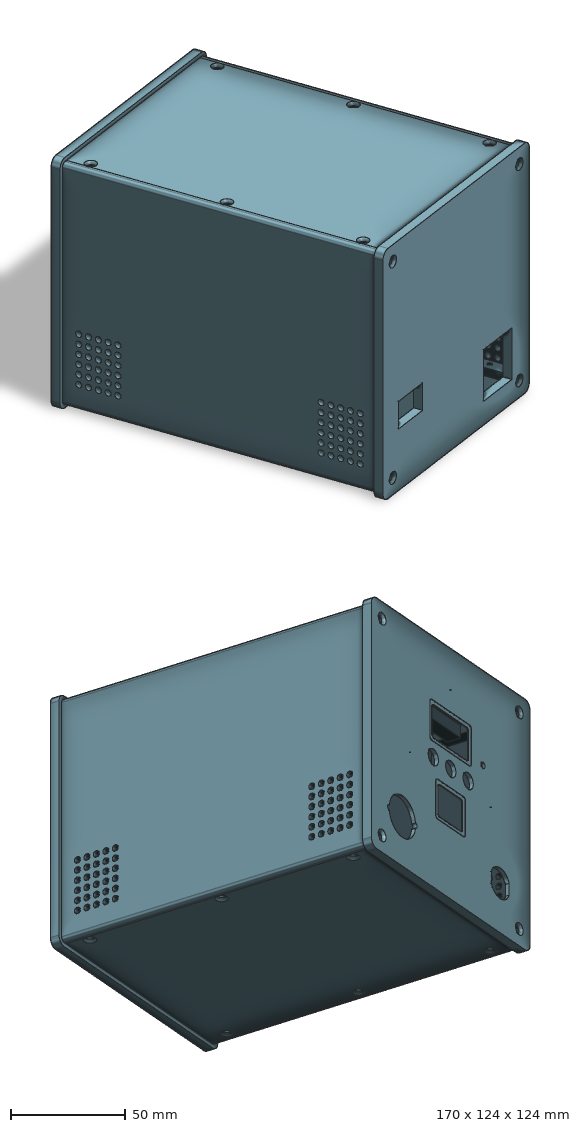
import cadquery as cq

length = 170.0
panel_size = 124.0
panel_thickness = 4.6
panel_overhang = 2.0
body_corner_radius = 2.0
panel_corner_radius = body_corner_radius + panel_overhang
body_size = panel_size - 2 * panel_overhang
body_length = length - 2 * panel_thickness
half_body = body_size / 2
front_x = -length / 2

wall_thickness = 3.4
inner_half = half_body - wall_thickness
rail_size = 7.0
rail_center = inner_half - rail_size / 2
rail_inner = inner_half - rail_size

wall_rib_width = 6.5
wall_rib_x = -33.2
wall_rib_depth = 2.9
lid_rib_x = -53.0
lid_rib_height = 6.1
lid_rib_width = 7.1
lid_step = 2.9

screw_position = 53.5
lid_screw_pitch = 69.7
screw_clearance = 3.2
screw_head = 6.0
screw_head_angle = 90
thread_diameter = 2.4
end_thread_depth = 8.5
drill_point_depth = thread_diameter / 2

vent_diameter = 3.0
vent_columns = 5
vent_rows = 6
vent_width = 20.0
vent_height = 25.0
vent_column_pitch = vent_width / (vent_columns - 1)
vent_row_pitch = vent_height / (vent_rows - 1)
vent_x = 62.0
vent_z = -34.8

skin_thickness = 2.0
window_border = 1.9
window_recess = 0.2
window_edge_thickness = 0.5
window_corner_radius = 1.4
upper_window_width = 28.4
upper_window_height = 16.5
upper_window_z = 20.4
lower_window_width = 19.2
lower_window_height = 16.0
lower_window_z = -16.8
button_diameter = 8.0
button_pitch = 13.6
button_z = 2.4
led_diameter = 3.0
led_y = -25.2
led_z = 15.1

socket_z = -37.4
round_socket_y = 37.7
round_socket_diameter = 20.5
notch_diameter = 2.5
notch_spacing = 20.4
flat_socket_y = -38.6
flat_socket_diameter = 15.1
flat_socket_width = 14.0

dimple_diameter = 0.3
dimple_depth = 0.3
top_dimple_z = 41.5
side_dimple_y = 31.5
side_dimple_z = -2.9

inlet_left = 47.1
inlet_width = 23.8
inlet_height = 25.5
outlet_bottom = -31.5
outlet_width = 20.4
outlet_height = 13.6


def yz_plane(x):
    """Sketch plane across the enclosure at x, facing +X, with Y and Z as its axes."""
    return cq.Workplane("YZ", origin=(x, 0, 0))


def mirrored_pairs(a, b):
    return [(a, b), (a, -b), (-a, b), (-a, -b)]


def make_panel(x, outward):
    """Square end panel with four countersunk corner holes; outward is -1 (front) or +1 (rear)."""
    panel = (
        yz_plane(x)
        .rect(panel_size, panel_size)
        .extrude(panel_thickness)
        .edges("|X")
        .fillet(panel_corner_radius)
    )
    face = panel.faces(">X" if outward > 0 else "<X").workplane(centerOption="CenterOfBoundBox")
    return face.pushPoints(mirrored_pairs(screw_position, screw_position)).cskHole(
        screw_clearance, screw_head, screw_head_angle
    )


def block(x, depth, y, z, width, height, radius=0.0):
    """Box reaching depth beyond x, centred at (y, z), with its edges along X rounded."""
    box = yz_plane(x).center(y, z).rect(width, height).extrude(depth)
    return box.edges("|X").fillet(radius) if radius else box


def window_cutter(z, width, height):
    """Rounded window with a wider recess on each side of its thin edge."""
    outer_width = width + 2 * window_border
    outer_height = height + 2 * window_border
    seat_x = front_x + window_recess + window_edge_thickness
    opening = block(front_x, panel_thickness, 0, z, width, height, window_corner_radius)
    recess = block(front_x, window_recess, 0, z, outer_width, outer_height, window_corner_radius)
    seat = block(seat_x, panel_thickness, 0, z, outer_width, outer_height, window_corner_radius)
    return opening.union(recess).union(seat)


def round_cutter(points, diameter, depth=panel_thickness):
    return yz_plane(front_x).pushPoints(points).circle(diameter / 2).extrude(depth)


def make_front_panel():
    panel = make_panel(front_x, -1)

    panel = panel.cut(
        block(front_x + skin_thickness, panel_thickness, 0, 0, 2 * rail_inner, 2 * rail_inner)
    )

    panel = panel.cut(window_cutter(upper_window_z, upper_window_width, upper_window_height))
    panel = panel.cut(window_cutter(lower_window_z, lower_window_width, lower_window_height))

    buttons = [(i * button_pitch, button_z) for i in (-1, 0, 1)]
    panel = panel.cut(round_cutter(buttons, button_diameter))
    panel = panel.cut(round_cutter([(led_y, led_z)], led_diameter))

    notches = [(round_socket_y + side * notch_spacing / 2, socket_z) for side in (-1, 1)]
    panel = panel.cut(round_cutter([(round_socket_y, socket_z)], round_socket_diameter))
    panel = panel.cut(round_cutter(notches, notch_diameter))

    flat_socket = round_cutter([(flat_socket_y, socket_z)], flat_socket_diameter).intersect(
        block(front_x, panel_thickness, flat_socket_y, socket_z, flat_socket_width, panel_size)
    )
    panel = panel.cut(flat_socket)

    dimples = [(0, top_dimple_z), (side_dimple_y, side_dimple_z), (-side_dimple_y, side_dimple_z)]
    return panel.cut(round_cutter(dimples, dimple_diameter, dimple_depth))


def make_rear_panel():
    rear_x = length / 2 - panel_thickness
    inlet_y = inlet_left - inlet_width / 2
    outlet_z = outlet_bottom + outlet_height / 2
    return (
        make_panel(rear_x, 1)
        .cut(block(rear_x, panel_thickness, inlet_y, socket_z, inlet_width, inlet_height))
        .cut(block(rear_x, panel_thickness, flat_socket_y, outlet_z, outlet_width, outlet_height))
    )


def make_lid(side):
    """Flat cover lying on the rails between the side walls; side is +1 (top) or -1 (bottom)."""
    lid = cq.Workplane("XY").box(body_length, 2 * inner_half, wall_thickness)
    underside = cq.Workplane("XY", origin=(0, 0, -wall_thickness / 2))

    lid = lid.union(underside.rect(body_length, 2 * rail_inner).extrude(-lid_step))
    lid = lid.union(
        underside.center(lid_rib_x, 0)
        .rect(lid_rib_width, 2 * rail_inner)
        .extrude(-lid_step - lid_rib_height)
    )

    points = [(i * lid_screw_pitch, j * screw_position) for i in (-1, 0, 1) for j in (-1, 1)]
    lid = (
        lid.faces(">Z")
        .workplane()
        .pushPoints(points)
        .cskHole(screw_clearance, screw_head, screw_head_angle)
    )
    if side < 0:
        lid = lid.rotate((0, 0, 0), (1, 0, 0), 180)
    return lid.translate((0, 0, side * (half_body - wall_thickness / 2)))


def make_side(side):
    """Side wall with a rail along its top and bottom edge; side is +1 (+Y) or -1 (-Y)."""
    start_x = -body_length / 2
    wall_y = side * (half_body - wall_thickness / 2)
    wall = (
        block(start_x, body_length, wall_y, 0, wall_thickness, body_size)
        .edges("|X")
        .edges(">Y" if side > 0 else "<Y")
        .fillet(body_corner_radius)
    )

    for level in (-1, 1):
        rail_y = side * rail_center
        wall = wall.union(
            block(start_x, body_length, rail_y, level * rail_center, rail_size, rail_size)
        )

    wall = wall.union(
        block(
            wall_rib_x - wall_rib_width / 2,
            wall_rib_width,
            side * (inner_half - wall_rib_depth / 2),
            0,
            wall_rib_depth,
            2 * inner_half,
        )
    )

    lid_holes = [(i * lid_screw_pitch, side * screw_position) for i in (-1, 0, 1)]
    wall = wall.cut(
        cq.Workplane("XY")
        .pushPoints(lid_holes)
        .circle(thread_diameter / 2)
        .extrude(half_body, both=True)
    )
    end_hole_profile = [
        (0, 0),
        (thread_diameter / 2, 0),
        (thread_diameter / 2, end_thread_depth),
        (0, end_thread_depth + drill_point_depth),
    ]
    end_hole = cq.Workplane("XY").polyline(end_hole_profile).close().revolve(360, (0, 0), (0, 1))
    for end in (-1, 1):
        for level in (-1, 1):
            place = (end * body_length / 2, side * screw_position, level * screw_position)
            wall = wall.cut(end_hole.rotate((0, 0, 0), (0, 0, 1), end * 90).translate(place))

    for end in (-1, 1):
        vents = (
            cq.Workplane("XZ", origin=(end * vent_x, 0, vent_z))
            .rarray(vent_column_pitch, vent_row_pitch, vent_columns, vent_rows)
            .circle(vent_diameter / 2)
            .extrude(-side * half_body)
        )
        wall = wall.cut(vents)
    return wall


front_panel = make_front_panel()
rear_panel = make_rear_panel()
lids = [make_lid(side) for side in (1, -1)]
sides = [make_side(side) for side in (1, -1)]

result = cq.Compound.makeCompound(
    [front_panel.val(), rear_panel.val()]
    + [lid.val() for lid in lids]
    + [side.val() for side in sides]
)